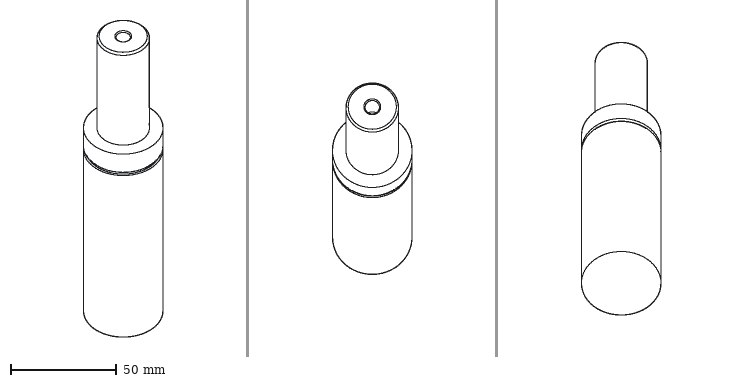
import cadquery as cq
import math

total_length = 175.0
body_diameter = 38.0
rod_diameter = 25.0
rod_length = 58.3
rod_chamfer = 1.0

collar_height = 11.5
groove_width = 2.1
groove_depth = 1.0

hole_diameter = 6.8
hole_mouth_diameter = 8.0
hole_depth = 15.8
drill_point_angle = 118.0

body_radius = body_diameter / 2
rod_radius = rod_diameter / 2
hole_radius = hole_diameter / 2
mouth_radius = hole_mouth_diameter / 2
mouth_chamfer = mouth_radius - hole_radius
drill_point_length = hole_radius / math.tan(math.radians(drill_point_angle / 2))

shoulder_z = total_length - rod_length
groove_top_z = shoulder_z - collar_height
groove_bottom_z = groove_top_z - groove_width
groove_radius = body_radius - groove_depth
hole_bottom_z = total_length - hole_depth

half_section = (
    cq.Workplane("XZ")
    .moveTo(0, 0)
    .lineTo(body_radius, 0)
    .lineTo(body_radius, groove_bottom_z)
    .lineTo(groove_radius, groove_bottom_z)
    .lineTo(groove_radius, groove_top_z - groove_depth)
    .lineTo(body_radius, groove_top_z)
    .lineTo(body_radius, shoulder_z)
    .lineTo(rod_radius, shoulder_z)
    .lineTo(rod_radius, total_length - rod_chamfer)
    .lineTo(rod_radius - rod_chamfer, total_length)
    .lineTo(mouth_radius, total_length)
    .lineTo(hole_radius, total_length - mouth_chamfer)
    .lineTo(hole_radius, hole_bottom_z)
    .lineTo(0, hole_bottom_z - drill_point_length)
    .close()
)

result = half_section.revolve(360, (0, 0, 0), (0, 1, 0))